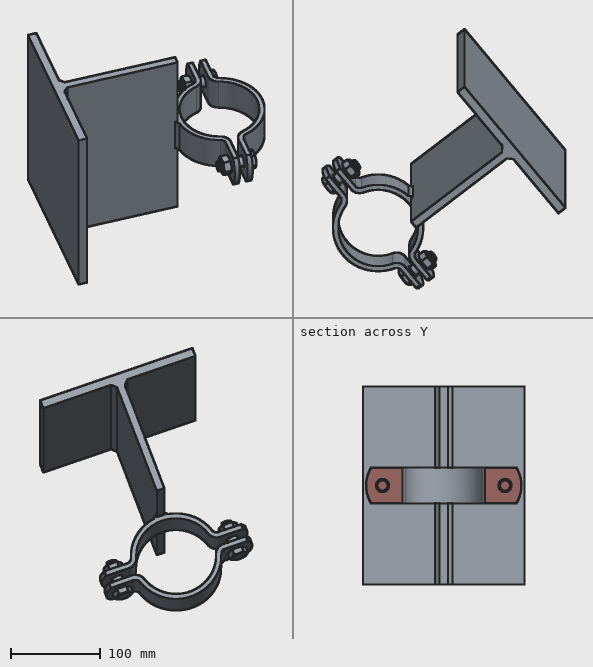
import cadquery as cq
import math

base_width = 180.0
overall_depth = 244.8
plate_height = 220.0
plate_thickness = 10.0
web_thickness = 9.0
base_weld_leg = 5.1

ring_outer_diameter = 100.5
ring_inner_diameter = 88.6
clamp_height = 40.0
flange_gap = 9.0
flange_reach = 86.5
flange_end_bulge = 5.6
bend_radius = 6.0
clamp_weld_leg = 3.7

bolt_spacing = 136.0
bolt_diameter = 12.0
bolt_tip_diameter = 11.0
bolt_tip_length = 1.5
bolt_end_offset = 24.5
hole_diameter = 14.0
hex_flats = 19.0
hex_face_diameter = 17.1
hex_chamfer_angle = 30
head_height = 7.5
nut_height = 10.0

ring_outer_radius = ring_outer_diameter / 2
ring_inner_radius = ring_inner_diameter / 2
strip_thickness = ring_outer_radius - ring_inner_radius
clamp_y = overall_depth - ring_outer_radius
web_end_y = clamp_y - ring_outer_radius
flange_inner = flange_gap / 2
flange_outer = flange_inner + strip_thickness


def centred_prism(sketch_points, height):
    """Polygon in the XY plane extruded symmetrically about Z = 0."""
    return cq.Workplane("XY").polyline(sketch_points).close().extrude(height / 2, both=True)


def make_bracket():
    """T-section: base plate and web, with a weld on each side of the web."""
    half_width = base_width / 2
    half_web = web_thickness / 2
    weld_x = half_web + base_weld_leg
    right_side = [
        (half_width, 0),
        (half_width, plate_thickness),
        (weld_x, plate_thickness),
        (half_web, plate_thickness + base_weld_leg),
        (half_web, web_end_y),
    ]
    left_side = [(-x, y) for x, y in reversed(right_side)]
    return centred_prism(right_side + left_side, plate_height)


def make_half_clamp():
    """Half ring bulging toward +Y about the origin, with a bent flange on each side."""
    bend_y = flange_outer + bend_radius
    bend_distance = ring_outer_radius + bend_radius
    bend_x = math.sqrt(bend_distance**2 - bend_y**2)
    ring_angle = math.atan2(bend_y, bend_x)
    middle_angle = (ring_angle + math.pi + 1.5 * math.pi) / 2

    def on_ring(radius, side):
        return side * radius * math.cos(ring_angle), radius * math.sin(ring_angle)

    def on_bend(radius, side):
        x = bend_x + radius * math.cos(middle_angle)
        return side * x, bend_y + radius * math.sin(middle_angle)

    outer_bend = bend_radius
    inner_bend = bend_radius + strip_thickness
    strip = (
        cq.Workplane("XY")
        .moveTo(flange_reach, flange_inner)
        .lineTo(flange_reach, flange_outer)
        .lineTo(bend_x, flange_outer)
        .threePointArc(on_bend(outer_bend, 1), on_ring(ring_outer_radius, 1))
        .threePointArc((0, ring_outer_radius), on_ring(ring_outer_radius, -1))
        .threePointArc(on_bend(outer_bend, -1), (-bend_x, flange_outer))
        .lineTo(-flange_reach, flange_outer)
        .lineTo(-flange_reach, flange_inner)
        .lineTo(-bend_x, flange_inner)
        .threePointArc(on_bend(inner_bend, -1), on_ring(ring_inner_radius, -1))
        .threePointArc((0, ring_inner_radius), on_ring(ring_inner_radius, 1))
        .threePointArc(on_bend(inner_bend, 1), (bend_x, flange_inner))
        .close()
        .extrude(clamp_height / 2, both=True)
    )

    half_height = clamp_height / 2
    shoulder_x = flange_reach - flange_end_bulge
    end_outline = (
        cq.Workplane("XZ")
        .moveTo(-shoulder_x, -half_height)
        .lineTo(shoulder_x, -half_height)
        .threePointArc((flange_reach, 0), (shoulder_x, half_height))
        .lineTo(-shoulder_x, half_height)
        .threePointArc((-flange_reach, 0), (-shoulder_x, -half_height))
        .close()
        .extrude(ring_outer_radius, both=True)
    )
    bolt_holes = (
        cq.Workplane("XZ")
        .pushPoints([(-bolt_spacing / 2, 0), (bolt_spacing / 2, 0)])
        .circle(hole_diameter / 2)
        .extrude(2 * flange_outer, both=True)
    )
    return strip.intersect(end_outline).cut(bolt_holes)


def make_clamp_weld():
    """Weld on both sides of the web end, filling the corner under the ring."""
    half_web = web_thickness / 2
    weld_x = half_web + clamp_weld_leg
    ring_y = clamp_y - math.sqrt(ring_outer_radius**2 - weld_x**2)
    root_y = clamp_y - ring_outer_radius + strip_thickness / 2
    points = [
        (weld_x, ring_y),
        (half_web, ring_y - clamp_weld_leg),
        (-half_web, ring_y - clamp_weld_leg),
        (-weld_x, ring_y),
        (0, root_y),
    ]
    return centred_prism(points, clamp_height)


def make_hex(height, chamfer_both_faces):
    """Hexagon along +Y from the origin, corners on the X axis, with conical corner chamfers."""
    corner_radius = hex_flats / math.sqrt(3)
    face_radius = hex_face_diameter / 2
    chamfer = (corner_radius - face_radius) * math.tan(math.radians(hex_chamfer_angle))
    prism = cq.Workplane("XZ").polygon(6, 2 * corner_radius).extrude(-height)
    profile = cq.Workplane("XY")
    if chamfer_both_faces:
        profile = profile.lineTo(face_radius, 0).lineTo(corner_radius, chamfer)
    else:
        profile = profile.lineTo(corner_radius, 0)
    envelope = (
        profile.lineTo(corner_radius, height - chamfer)
        .lineTo(face_radius, height)
        .lineTo(0, height)
        .close()
        .revolve(360, (0, 0), (0, 1))
    )
    return prism.intersect(envelope)


def make_bolt():
    """Bolt along Y with its head on the +Y flange and its nut on the -Y flange."""
    shank_radius = bolt_diameter / 2
    shank = (
        cq.Workplane("XY")
        .moveTo(0, flange_outer)
        .lineTo(shank_radius, flange_outer)
        .lineTo(shank_radius, bolt_tip_length - bolt_end_offset)
        .lineTo(bolt_tip_diameter / 2, -bolt_end_offset)
        .lineTo(0, -bolt_end_offset)
        .close()
        .revolve(360, (0, 0), (0, 1))
    )
    head = make_hex(head_height, False).translate((0, flange_outer, 0))
    nut = make_hex(nut_height, True).mirror("XZ").translate((0, -flange_outer, 0))
    return shank.union(head).union(nut)


half_clamp = make_half_clamp()
clamp = half_clamp.union(half_clamp.mirror("XZ"))
for bolt_x in (-bolt_spacing / 2, bolt_spacing / 2):
    clamp = clamp.union(make_bolt().translate((bolt_x, 0, 0)))

result = make_bracket().union(make_clamp_weld()).union(clamp.translate((0, clamp_y, 0)))